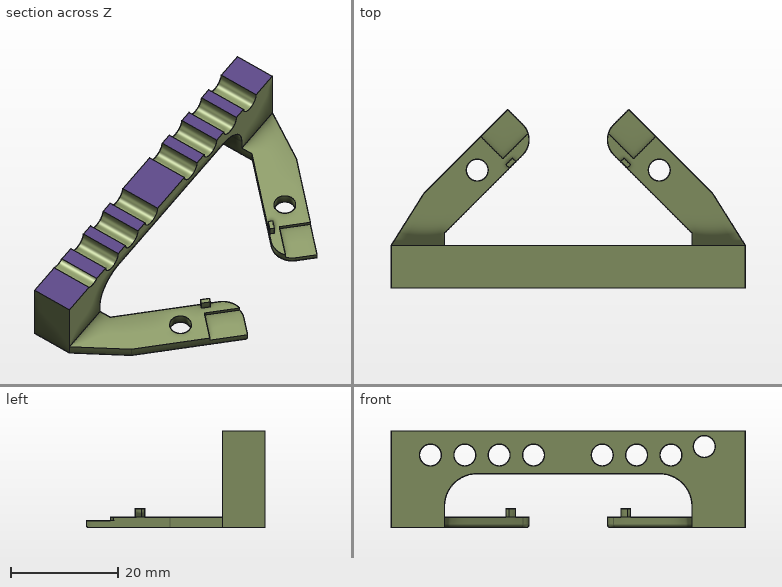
import cadquery as cq
import math

BAR_LENGTH = 66.0
BAR_DEPTH = 8.0
BAR_HEIGHT = 18.0
FOOT_WIDTH = 9.95
ARCH_HEIGHT = 10.0
ARCH_RADIUS = 6.0

HOLE_DIAMETER = 4.0
HOLE_PITCH = 6.4
FIRST_HOLE_INSET = 7.3
HOLE_DROP = 4.5
ROW_SLOTS = (0, 1, 2, 3, 5, 6, 7)
END_HOLE_INSET = 7.65
END_HOLE_DROP = 2.9

ARM_ANGLE = 45
ARM_WIDTH = 8.0
ARM_THICKNESS = 2.0
TOTAL_DEPTH = 33.3
ARM_TIP_INSET = 21.7
OUTER_BEND_REACH = 9.8
TIP_RADIUS = ARM_WIDTH / 2
LOWER_EDGE_RADIUS = 0.5
ARM_HOLE_FROM_TIP = 12.0

STEP_LENGTH = 7.1
STEP_WIDTH = 5.9
STEP_DEPTH = 0.65
PEG_FROM_TIP = 5.8
PEG_LENGTH = 1.7
PEG_WIDTH = 0.85
PEG_INSET = 0.05
PEG_HEIGHT = 1.6

HALF_LENGTH = BAR_LENGTH / 2
DIAGONAL = math.cos(math.radians(ARM_ANGLE))
TIP_X = ARM_TIP_INSET - HALF_LENGTH
TIP_Y = TOTAL_DEPTH - BAR_DEPTH


def make_bar():
    bar = cq.Workplane("XY").box(BAR_LENGTH, BAR_DEPTH, BAR_HEIGHT, centered=(True, False, False))
    bar = bar.translate((0, -BAR_DEPTH, 0))
    arch_width = BAR_LENGTH - 2 * FOOT_WIDTH
    arch = (
        cq.Workplane("XZ")
        .rect(arch_width, 2 * ARCH_HEIGHT)
        .extrude(BAR_DEPTH)
        .edges("|Y")
        .fillet(ARCH_RADIUS)
    )
    row_start = FIRST_HOLE_INSET - HALF_LENGTH
    hole_centers = [(row_start + slot * HOLE_PITCH, BAR_HEIGHT - HOLE_DROP) for slot in ROW_SLOTS]
    hole_centers.append((HALF_LENGTH - END_HOLE_INSET, BAR_HEIGHT - END_HOLE_DROP))
    holes = cq.Workplane("XZ").pushPoints(hole_centers).circle(HOLE_DIAMETER / 2).extrude(BAR_DEPTH)
    return bar.cut(arch).cut(holes)


def arm_point(from_tip, across):
    """Point measured back from the tip and across from the outer edge of the left arm."""
    return (TIP_X + (across - from_tip) * DIAGONAL, TIP_Y - (across + from_tip) * DIAGONAL)


def arm_block(from_tip, across, length, width, bottom, height):
    """Rectangular block aligned with the left arm."""
    corners = [
        arm_point(from_tip, across),
        arm_point(from_tip + length, across),
        arm_point(from_tip + length, across + width),
        arm_point(from_tip, across + width),
    ]
    return cq.Workplane("XY").workplane(offset=bottom).polyline(corners).close().extrude(height)


def make_left_arm():
    outer_bend = (TIP_X - TIP_Y + OUTER_BEND_REACH, OUTER_BEND_REACH)
    end_corner = arm_point(0, ARM_WIDTH)
    foot_inner_x = FOOT_WIDTH - HALF_LENGTH
    inner_bend = (foot_inner_x, end_corner[1] - (end_corner[0] - foot_inner_x))
    tip_tangent = arm_point(0, ARM_WIDTH - TIP_RADIUS)
    arc_middle = arm_point(TIP_RADIUS * (1 - DIAGONAL), ARM_WIDTH - TIP_RADIUS * (1 - DIAGONAL))
    side_tangent = arm_point(TIP_RADIUS, ARM_WIDTH)
    arm = (
        cq.Workplane("XY")
        .moveTo(-HALF_LENGTH, 0)
        .lineTo(*outer_bend)
        .lineTo(TIP_X, TIP_Y)
        .lineTo(*tip_tangent)
        .threePointArc(arc_middle, side_tangent)
        .lineTo(*inner_bend)
        .lineTo(foot_inner_x, 0)
        .close()
        .extrude(ARM_THICKNESS)
    )
    edge_middles = [
        arm_point(0, (ARM_WIDTH - TIP_RADIUS) / 2),
        arc_middle,
        ((side_tangent[0] + inner_bend[0]) / 2, (side_tangent[1] + inner_bend[1]) / 2),
    ]
    lower_edges = cq.Workplane("XY")
    for x, y in edge_middles:
        lower_edges = lower_edges.add(arm.edges(cq.selectors.NearestToPointSelector((x, y, 0))))
    arm = cq.Workplane(arm.val().fillet(LOWER_EDGE_RADIUS, lower_edges.vals()))
    hole = (
        cq.Workplane("XY")
        .center(*arm_point(ARM_HOLE_FROM_TIP, ARM_WIDTH / 2))
        .circle(HOLE_DIAMETER / 2)
        .extrude(ARM_THICKNESS)
    )
    step = arm_block(0, 0, STEP_LENGTH, STEP_WIDTH, ARM_THICKNESS - STEP_DEPTH, STEP_DEPTH)
    peg_across = ARM_WIDTH - PEG_INSET - PEG_WIDTH
    peg = arm_block(PEG_FROM_TIP, peg_across, PEG_LENGTH, PEG_WIDTH, ARM_THICKNESS, PEG_HEIGHT)
    return arm.cut(hole).cut(step).union(peg)


left_arm = make_left_arm()
result = make_bar().union(left_arm).union(left_arm.mirror("YZ"))